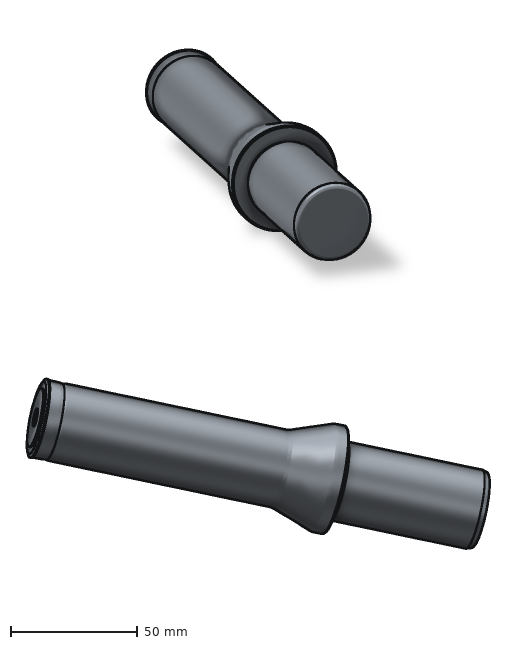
import cadquery as cq
import math

LENGTH = 183.0
CAP_LENGTH = 7.9

CAP_FLAT_RADIUS = 11.9
CAP_RIM_DIAMETER = 32.0
CAP_SKIRT_DIAMETER = 31.5
CAP_TAIL_DIAMETER = 31.0
CAP_FACE_RADIUS = 14.6
CAP_FACE_DEPTH = 0.5
CAP_RIM_START = 1.3
CAP_RIM_END = 1.8
CAP_SKIRT_END = 6.2
CAP_WAIST_DIAMETER = 31.3

RECESS_RADIUS = 7.5
RECESS_FLOOR_RADIUS = 5.9
RECESS_DEPTH = 0.2
BOSS_RADIUS = 3.7
CENTRE_HOLE_RADIUS = 1.1
CENTRE_HOLE_DEPTH = 1.0

SHAFT_DIAMETER = 31.5
SHAFT_CHAMFER_LENGTH = 1.1
CONE_START = 100.8
CONE_ANGLE = 19.5
CONE_ROOT_BLEND = 4.8
CONE_TOP_BLEND = 3.3
COLLAR_DIAMETER = 44.0
COLLAR_END = 123.2
COLLAR_CHAMFER = 0.5
NECK_DIAMETER = 31.0
NECK_END = 124.8
SHANK_DIAMETER = 32.0
SHANK_BEVEL_LENGTH = 1.1
SHANK_BEVEL_DEPTH = 0.4
SHANK_END_RADIUS = 1.5


def revolve_about_x(profile):
    """Revolve a closed XY profile fully around the X axis."""
    return profile.close().revolve(360, (0, 0, 0), (1, 0, 0))


def make_end_cap():
    """Flanged cap with concentric shallow details in its front face."""
    points = [
        (0, CAP_FLAT_RADIUS),
        (CAP_FACE_DEPTH, CAP_FLAT_RADIUS),
        (CAP_FACE_DEPTH, CAP_FACE_RADIUS),
        (CAP_RIM_START, CAP_RIM_DIAMETER / 2),
        (CAP_RIM_END, CAP_RIM_DIAMETER / 2),
        (CAP_RIM_END, CAP_SKIRT_DIAMETER / 2),
        (CAP_SKIRT_END, CAP_WAIST_DIAMETER / 2),
        (CAP_LENGTH, CAP_TAIL_DIAMETER / 2),
        (CAP_LENGTH, 0),
        (CENTRE_HOLE_DEPTH, 0),
        (CENTRE_HOLE_DEPTH, CENTRE_HOLE_RADIUS),
        (0, CENTRE_HOLE_RADIUS),
        (0, BOSS_RADIUS),
        (RECESS_DEPTH, BOSS_RADIUS),
        (RECESS_DEPTH, RECESS_FLOOR_RADIUS),
        (0, RECESS_RADIUS),
    ]
    return revolve_about_x(cq.Workplane("XY").polyline(points))


def blend_circle(solid, x, radius, blend):
    """Round the circular edge centred at x on the axis with the given radius."""
    tolerance = 0.02
    edge_box = cq.selectors.BoxSelector(
        (x - tolerance, -radius - tolerance, -radius - tolerance),
        (x + tolerance, radius + tolerance, radius + tolerance),
        boundingbox=True,
    )
    return solid.edges(edge_box).edges("%CIRCLE").fillet(blend)


def make_pin():
    """Stepped pin with a conical collar and a rounded shank end."""
    shaft_radius = SHAFT_DIAMETER / 2
    collar_radius = COLLAR_DIAMETER / 2
    neck_radius = NECK_DIAMETER / 2
    shank_radius = SHANK_DIAMETER / 2
    bevelled_radius = shank_radius - SHANK_BEVEL_DEPTH
    cone_length = (collar_radius - shaft_radius) / math.tan(math.radians(CONE_ANGLE))
    cone_end = CONE_START + cone_length
    round_start = LENGTH - SHANK_END_RADIUS
    round_centre_radius = bevelled_radius - SHANK_END_RADIUS
    arc_reach = SHANK_END_RADIUS * math.sqrt(0.5)

    profile = (
        cq.Workplane("XY")
        .moveTo(CAP_LENGTH, 0)
        .lineTo(CAP_LENGTH, CAP_TAIL_DIAMETER / 2)
        .lineTo(CAP_LENGTH + SHAFT_CHAMFER_LENGTH, shaft_radius)
        .lineTo(CONE_START, shaft_radius)
        .lineTo(cone_end, collar_radius)
        .lineTo(COLLAR_END - COLLAR_CHAMFER, collar_radius)
        .lineTo(COLLAR_END, collar_radius - COLLAR_CHAMFER)
        .lineTo(COLLAR_END, neck_radius)
        .lineTo(NECK_END, neck_radius)
        .lineTo(NECK_END, shank_radius)
        .lineTo(round_start - SHANK_BEVEL_LENGTH, shank_radius)
        .lineTo(round_start, bevelled_radius)
        .threePointArc(
            (round_start + arc_reach, round_centre_radius + arc_reach),
            (LENGTH, round_centre_radius),
        )
        .lineTo(LENGTH, 0)
    )
    pin = revolve_about_x(profile)
    pin = blend_circle(pin, CONE_START, shaft_radius, CONE_ROOT_BLEND)
    return blend_circle(pin, cone_end, collar_radius, CONE_TOP_BLEND)


end_cap = make_end_cap()
pin = make_pin()
centre_shift = cq.Vector(-LENGTH / 2, 0, 0)
result = cq.Compound.makeCompound([
    end_cap.translate(centre_shift).val(),
    pin.translate(centre_shift).val(),
])